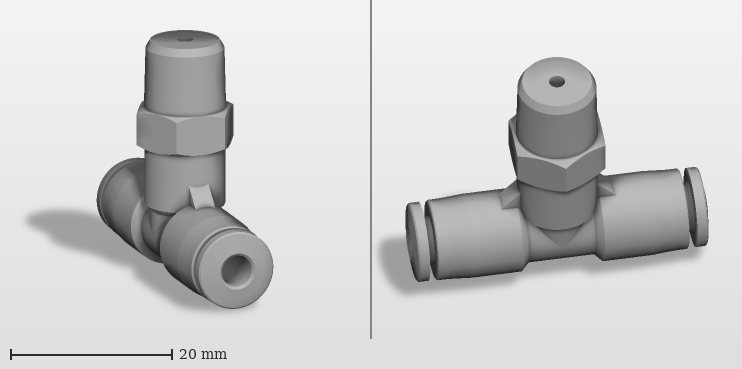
import cadquery as cq
import math


neck_radius = 4.25
shoulder_radius = 5.25
shoulder_start = 5.15
shoulder_chamfer = shoulder_radius - neck_radius
taper_start = 11.4
taper_end = 14.4
sleeve_radius = 5.04
sleeve_end = 15.85
sleeve_edge_chamfer = 0.15

collar_neck_radius = 5.97 / 2
collar_root_x = 16.4
collar_root_radius = 3.3
collar_back_x = 16.85
collar_radius = 9.9 / 2
collar_end = 37.3 / 2
collar_dome_height = 0.4
collar_edge_chamfer = 0.2

tube_bore_radius = 3.97 / 2
tube_bore_mouth_chamfer = 0.33
passage_radius = 2.0 / 2

branch_base_z = 4.0
branch_radius = 10.0 / 2
branch_base_chamfer = branch_radius - neck_radius
hex_bottom_z = 11.5
hex_height = 5.0
hex_across_corners = 12.83
hex_chamfer_angle = 30.0
hex_envelope_margin = 1.0
thread_base_radius = 5.1
thread_tip_radius = 4.9
branch_top_z = 25.0
tip_chamfer_height = 0.95
tip_face_radius = 4.33

rib_width = 2.6
rib_reach = 12.35

hex_top_z = hex_bottom_z + hex_height
hex_sides = 6
hex_half_side_angle = 180.0 / hex_sides
hex_corner_radius = hex_across_corners / 2
hex_inradius = hex_corner_radius * math.cos(math.radians(hex_half_side_angle))


def make_run_half():
    """One half of the run, revolved about X, from the origin to the collar face."""
    collar_dome_x = collar_end - collar_dome_height
    mouth_radius = tube_bore_radius + tube_bore_mouth_chamfer
    profile = (
        cq.Workplane("XZ")
        .moveTo(0, 0)
        .lineTo(0, neck_radius)
        .lineTo(shoulder_start - shoulder_chamfer, neck_radius)
        .lineTo(shoulder_start, shoulder_radius)
        .lineTo(taper_start, shoulder_radius)
        .lineTo(taper_end, sleeve_radius)
        .lineTo(sleeve_end - sleeve_edge_chamfer, sleeve_radius)
        .lineTo(sleeve_end, sleeve_radius - sleeve_edge_chamfer)
        .lineTo(sleeve_end, collar_neck_radius)
        .lineTo(collar_root_x, collar_neck_radius)
        .lineTo(collar_back_x, collar_root_radius)
        .lineTo(collar_back_x, collar_radius)
        .lineTo(collar_dome_x - collar_edge_chamfer, collar_radius)
        .lineTo(collar_dome_x, collar_radius - collar_edge_chamfer)
        .lineTo(collar_end, mouth_radius)
        .lineTo(collar_end, 0)
        .close()
    )
    return profile.revolve(360, (0, 0, 0), (1, 0, 0))


def make_branch():
    """Round stem, tapered thread and chamfered tip, revolved about Z."""
    profile = (
        cq.Workplane("XZ")
        .moveTo(0, 0)
        .lineTo(neck_radius, 0)
        .lineTo(neck_radius, branch_base_z - branch_base_chamfer)
        .lineTo(branch_radius, branch_base_z)
        .lineTo(branch_radius, hex_top_z)
        .lineTo(thread_base_radius, hex_top_z)
        .lineTo(thread_tip_radius, branch_top_z - tip_chamfer_height)
        .lineTo(tip_face_radius, branch_top_z)
        .lineTo(0, branch_top_z)
        .close()
    )
    return profile.revolve(360, (0, 0, 0), (0, 1, 0))


def make_hex():
    """Wrench hexagon with two corners on Y and both ends turned to a shallow cone."""
    prism = (
        cq.Workplane("XY")
        .workplane(offset=hex_bottom_z)
        .polygon(hex_sides, hex_across_corners)
        .extrude(hex_height)
        .rotate((0, 0, 0), (0, 0, 1), hex_half_side_angle)
    )
    envelope_radius = hex_corner_radius + hex_envelope_margin
    cone_drop = (envelope_radius - hex_inradius) * math.tan(math.radians(hex_chamfer_angle))
    envelope = (
        cq.Workplane("XZ")
        .moveTo(0, hex_bottom_z)
        .lineTo(hex_inradius, hex_bottom_z)
        .lineTo(envelope_radius, hex_bottom_z + cone_drop)
        .lineTo(envelope_radius, hex_top_z - cone_drop)
        .lineTo(hex_inradius, hex_top_z)
        .lineTo(0, hex_top_z)
        .close()
        .revolve(360, (0, 0, 0), (0, 1, 0))
    )
    return prism.intersect(envelope)


def make_ribs():
    """45 degree gussets on both sides of the branch, as one roof-shaped plate."""
    return (
        cq.Workplane("XZ")
        .moveTo(-rib_reach + neck_radius, neck_radius)
        .lineTo(-neck_radius, rib_reach - neck_radius)
        .lineTo(neck_radius, rib_reach - neck_radius)
        .lineTo(rib_reach - neck_radius, neck_radius)
        .close()
        .extrude(rib_width / 2, both=True)
    )


def make_tube_bore():
    """Tube socket in the +X end, widened by a chamfer at its mouth."""
    return (
        cq.Workplane("XZ")
        .moveTo(shoulder_start, 0)
        .lineTo(shoulder_start, tube_bore_radius)
        .lineTo(collar_end - tube_bore_mouth_chamfer, tube_bore_radius)
        .lineTo(collar_end, tube_bore_radius + tube_bore_mouth_chamfer)
        .lineTo(collar_end, 0)
        .close()
        .revolve(360, (0, 0, 0), (1, 0, 0))
    )


def make_passages():
    """Through passage along the run, joined by the one coming down the branch."""
    run_passage = cq.Workplane("YZ").circle(passage_radius).extrude(collar_end, both=True)
    branch_passage = cq.Workplane("XY").circle(passage_radius).extrude(branch_top_z)
    return run_passage.union(branch_passage)


run_half = make_run_half()
tube_bore = make_tube_bore()

body = run_half.union(run_half.mirror("YZ"))
body = body.union(make_branch())
body = body.union(make_hex())
body = body.union(make_ribs())
body = body.cut(tube_bore)
body = body.cut(tube_bore.mirror("YZ"))
result = body.cut(make_passages())